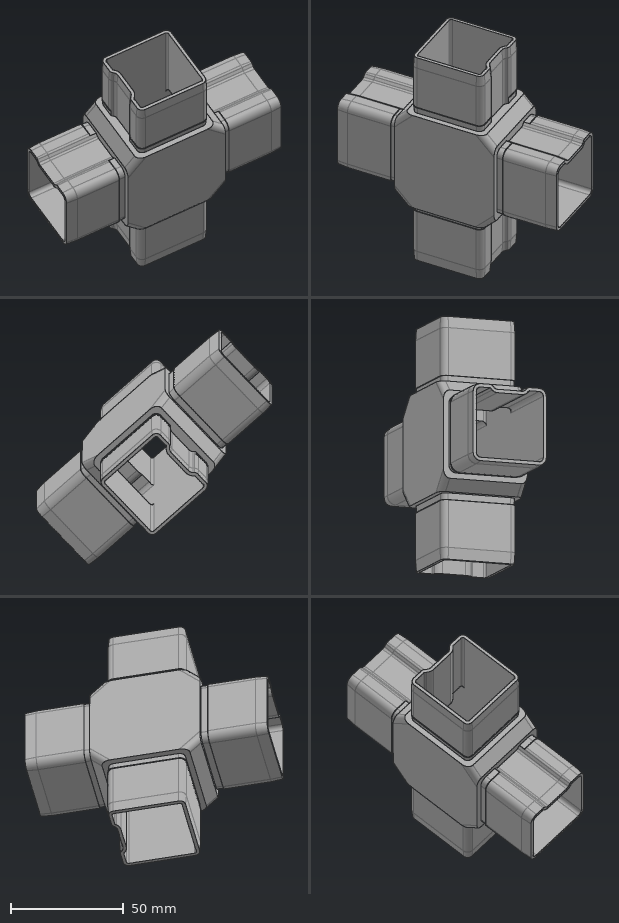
import cadquery as cq
import math

span = 110.0
hub_thickness = 40.0
hub_size = 50.0
hub_chamfer = 5.1
hub_edge_radius = 3.0

arm_half = 17.8
groove_depth = 2.0
y_arm_corner_radius = 4.0
z_arm_corner_radius = 3.0
groove_half = 7.6
y_arm_groove_radius = 1.5
z_arm_groove_radius = 2.5

relief = 0.4
neck_length = 3.1
tip_length = 5.3
wall = 1.5

hub_half = hub_size / 2
arm_end = span / 2
body_start = hub_half + neck_length
tip_start = arm_end - tip_length
bore_inset = relief + wall


def rounded_outline(plane, corners):
    """Closed outline through (x, y, radius) corners, with each corner rounded by a tangent arc."""
    stretches = []
    for i, (x, y, radius) in enumerate(corners):
        here = cq.Vector(x, y)
        before = cq.Vector(*corners[i - 1][:2])
        after = cq.Vector(*corners[(i + 1) % len(corners)][:2])
        back = (before - here).normalized()
        ahead = (after - here).normalized()
        half_angle = back.getAngle(ahead) / 2
        tangent = radius / math.tan(half_angle)
        to_arc = radius / math.sin(half_angle) - radius
        middle = here + (back + ahead).normalized() * to_arc
        stretches.append((here + back * tangent, middle, here + ahead * tangent, radius))

    outline = plane.moveTo(*stretches[0][2].toTuple()[:2])
    for start, middle, end, radius in stretches[1:] + stretches[:1]:
        outline = outline.lineTo(start.x, start.y)
        if radius > 0:
            outline = outline.threePointArc((middle.x, middle.y), (end.x, end.y))
    return outline.close()


def arm_outline(height, inset, corner_radius, groove_radius):
    """Arm section with its groove on +Y, moved inwards by the inset, on a plane at the height."""
    half = arm_half - inset
    floor = half - groove_depth
    middle = groove_half + inset * math.tan(math.radians(22.5))
    lip_x = middle + groove_depth / 2
    floor_x = middle - groove_depth / 2
    outer = max(corner_radius - inset, 0)
    lip = max(groove_radius - inset, 0)
    root = groove_radius + inset
    right_side = [
        (half, -half, outer),
        (half, half, outer),
        (lip_x, half, lip),
        (floor_x, floor, root),
    ]
    left_side = [(-x, y, radius) for x, y, radius in reversed(right_side)]
    return rounded_outline(cq.Workplane("XY", origin=(0, 0, height)), right_side + left_side)


def make_arm(corner_radius, groove_radius):
    """Solid arm along +Z, from the hub centre, with its groove on +Y."""
    shape = (corner_radius, groove_radius)
    body = arm_outline(0, 0, *shape).extrude(tip_start)

    neck_width = 2 * (arm_half - relief)
    neck = (
        cq.Workplane("XY")
        .rect(neck_width, neck_width)
        .extrude(body_start)
        .edges("|Z")
        .fillet(corner_radius - relief)
    )
    around_neck = cq.Workplane("XY").rect(hub_size, hub_size).extrude(body_start).cut(neck)

    tip_base = arm_outline(tip_start, 0, *shape).val()
    tip_end = arm_outline(arm_end, relief, *shape).val()
    tip = cq.Workplane(cq.Solid.makeLoft([tip_base, tip_end], True))
    return body.cut(around_neck).union(tip)


def make_bore(corner_radius, groove_radius):
    """Half of the straight bore through a pair of arms, from the hub centre along +Z."""
    return arm_outline(0, bore_inset, corner_radius, groove_radius).extrude(arm_end)


def z_pair(half):
    """Both halves along Z, with the groove on -Y."""
    upper = half.rotate((0, 0, 0), (0, 0, 1), 180)
    return upper.union(upper.mirror("XY"))


def y_pair(half):
    """Both halves along Y, with the groove on +Z."""
    front = half.rotate((0, 0, 0), (1, 0, 0), 90)
    return front.union(front.mirror("XZ"))


def make_hub():
    hub = cq.Workplane("XY").box(hub_thickness, hub_size, hub_size)
    hub = hub.edges("|X").chamfer(hub_chamfer)
    corner_edges = hub.faces("<X or >X").edges("not (|Y or |Z)")
    return corner_edges.fillet(hub_edge_radius)


y_arm = (y_arm_corner_radius, y_arm_groove_radius)
z_arm = (z_arm_corner_radius, z_arm_groove_radius)

connector = make_hub().union(y_pair(make_arm(*y_arm))).union(z_pair(make_arm(*z_arm)))
result = connector.cut(y_pair(make_bore(*y_arm))).cut(z_pair(make_bore(*z_arm)))